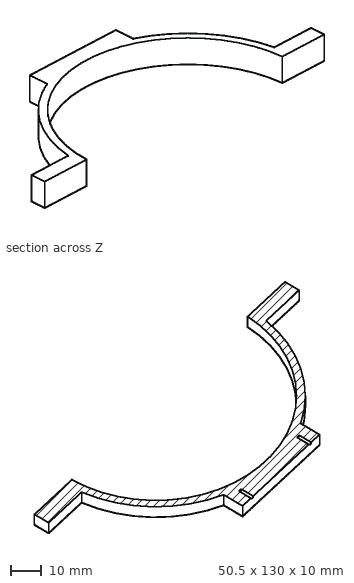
import cadquery as cq

span = 130.0
depth = 50.5
height = 10.0
inner_radius = 45.5
wall = 3.0
centre_offset = 1.5
arm_thickness = 6.0
pad_width = 40.0
hole_diameter = 1.0
hole_depth = 5.0
hole_spacing = 30.0

outer_radius = inner_radius + wall
arm_length = span / 2 - inner_radius


def block(x_min, x_size, y_centre, y_size):
    """Full-height block, placed by its lower X face and its Y centre."""
    return (
        cq.Workplane("XY")
        .box(x_size, y_size, height, centered=(False, True, False))
        .translate((x_min, y_centre, 0))
    )


def disc(radius):
    """Full-height disc about the ring centre."""
    return cq.Workplane("XY").center(centre_offset, 0).circle(radius).extrude(height)


half_space = block(-depth, depth, 0, span)
body = disc(outer_radius).intersect(half_space)
body = body.union(block(-depth, depth / 2, 0, pad_width))

for side in (-1, 1):
    arm_centre = side * (span - arm_length) / 2
    body = body.union(block(-arm_thickness, arm_thickness, arm_centre, arm_length))

body = body.cut(disc(inner_radius))

pad_holes = (
    cq.Workplane("YZ", origin=(-depth, 0, height / 2))
    .pushPoints([(-hole_spacing / 2, 0), (hole_spacing / 2, 0)])
    .circle(hole_diameter / 2)
    .extrude(hole_depth)
)
result = body.cut(pad_holes)